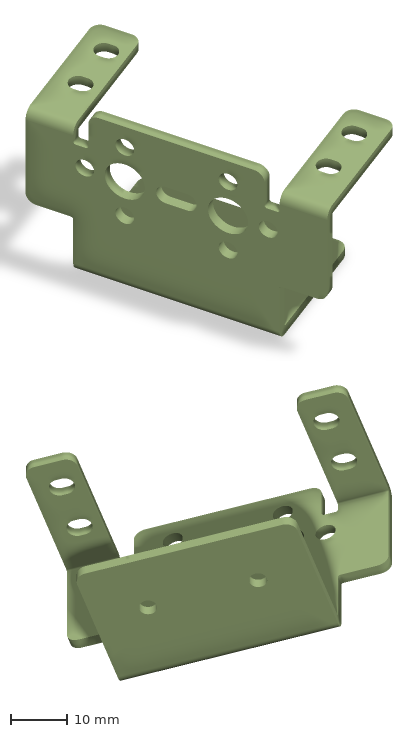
import cadquery as cq

width = 60.0
depth = 27.0
height = 38.0

sheet = 2.0
inner_bend = 0.3
outer_bend = 2.05
corner_radius = 2.1
relief_radius = 0.5

base_width = 41.05
tab_width = 35.05
arm_top = 34.0
arm_bottom = 12.8
notch_floor = 30.0
arm_width = (width - base_width) / 2
arm_x = (width + base_width) / 4

motor_x = 10.25
motor_z = 25.2
motor_hole = 8.0
screw_hole = 3.7
screw_offset_z = 8.0
outer_screw_x = 18.25
center_slot_length = 8.05
center_slot_height = 3.85

base_hole = 3.25
base_hole_y = 15.95
arm_slot_x = 24.65
arm_slot_ys = (11.0, 21.0)
arm_slot_length = 4.7
arm_slot_width = 3.7


def box(size_x, size_y, size_z, x, z):
    """Box centred on x, rising from z, with its front face at Y = 0."""
    return cq.Workplane("XY").box(size_x, size_y, size_z, centered=(True, False, False)).translate((x, 0, z))


def round_plate_corners(body, points, radius):
    """Round the edges along Y that pass through the given (x, z) points of the plate."""
    for x, z in points:
        near = (x, sheet / 2, z)
        body = body.edges(cq.selectors.NearestToPointSelector(near)).fillet(radius)
    return body


def make_front_plate():
    half_base = base_width / 2
    half_tab = tab_width / 2
    plate = box(base_width, sheet, notch_floor, 0, 0)
    plate = plate.union(box(tab_width, sheet, height, 0, 0))
    for side in (-1, 1):
        plate = plate.union(box(arm_width, sheet, arm_top - arm_bottom, side * arm_x, arm_bottom))
    for side in (-1, 1):
        outer = [(side * half_tab, height), (side * width / 2, arm_bottom)]
        inner = [
            (side * half_tab, notch_floor),
            (side * half_base, notch_floor),
            (side * half_base, arm_bottom),
        ]
        plate = round_plate_corners(plate, outer, corner_radius)
        plate = round_plate_corners(plate, inner, relief_radius)
    return plate


def make_flange(flange_width, x, bottom):
    """Horizontal flange with both of its free corners rounded."""
    return box(flange_width, depth, sheet, x, bottom).edges("|Z and >Y").fillet(corner_radius)


def bend(body, x, outer_z, inward):
    """Round the outside and inside of a bend; inward is the Z direction into the bracket."""
    outside = (x, 0, outer_z)
    inside = (x, sheet, outer_z + inward * sheet)
    body = body.edges(cq.selectors.NearestToPointSelector(outside)).fillet(outer_bend)
    return body.edges(cq.selectors.NearestToPointSelector(inside)).fillet(inner_bend)


def make_bracket():
    bracket = make_front_plate().union(make_flange(base_width, 0, 0))
    for side in (-1, 1):
        bracket = bracket.union(make_flange(arm_width, side * arm_x, arm_top - sheet))
    bracket = bend(bracket, 0, 0, 1)
    for side in (-1, 1):
        bracket = bend(bracket, side * arm_x, arm_top, -1)
    return bracket


def make_front_cutters():
    plane = cq.Workplane("XZ", origin=(0, 0, motor_z))
    motor_points = [(-motor_x, 0), (motor_x, 0)]
    screw_points = [(-outer_screw_x, 0), (outer_screw_x, 0)]
    for x in (-motor_x, motor_x):
        screw_points += [(x, -screw_offset_z), (x, screw_offset_z)]
    cutters = plane.pushPoints(motor_points).circle(motor_hole / 2).extrude(-sheet)
    cutters = cutters.union(plane.pushPoints(screw_points).circle(screw_hole / 2).extrude(-sheet))
    return cutters.union(plane.slot2D(center_slot_length, center_slot_height).extrude(-sheet))


def make_flange_cutters():
    base_points = [(-motor_x, base_hole_y), (motor_x, base_hole_y)]
    slot_points = [(x, y) for x in (-arm_slot_x, arm_slot_x) for y in arm_slot_ys]
    plane = cq.Workplane("XY")
    base_holes = plane.pushPoints(base_points).circle(base_hole / 2).extrude(sheet)
    arm_slots = (
        plane.workplane(offset=arm_top - sheet)
        .pushPoints(slot_points)
        .slot2D(arm_slot_length, arm_slot_width)
        .extrude(sheet)
    )
    return base_holes.union(arm_slots)


result = make_bracket().cut(make_front_cutters()).cut(make_flange_cutters())